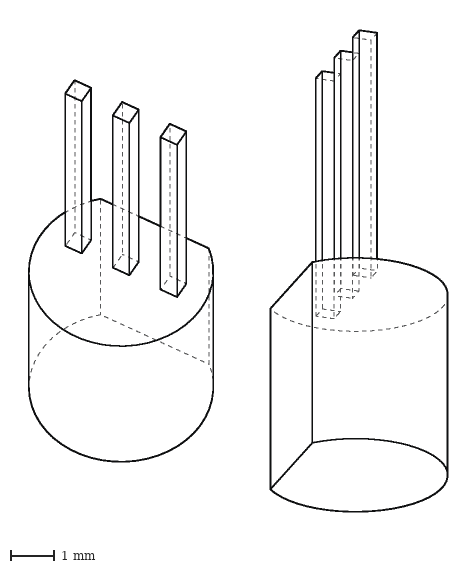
import cadquery as cq

body_diameter = 4.28
body_depth = 3.72
body_height = 4.57

total_height = 10.58
lead_width = 0.44
lead_pitch = 1.27
lead_count = 3
lead_offset = 0.22

body_radius = body_diameter / 2
flat_y = body_depth - body_radius
lead_length = total_height - body_height


def make_body():
    """Upright cylinder cut off by a flat on its +Y side."""
    cylinder = cq.Workplane("XY").circle(body_radius).extrude(body_height)
    kept_side = (
        cq.Workplane("XY")
        .center(0, flat_y - body_depth / 2)
        .rect(body_diameter, body_depth)
        .extrude(body_height)
    )
    return cylinder.intersect(kept_side)


def add_leads(body):
    """Row of square leads on the top face, centred along X."""
    return (
        body.faces(">Z")
        .workplane(origin=(0, lead_offset, body_height))
        .rarray(lead_pitch, lead_pitch, lead_count, 1)
        .rect(lead_width, lead_width)
        .extrude(lead_length)
    )


result = add_leads(make_body())